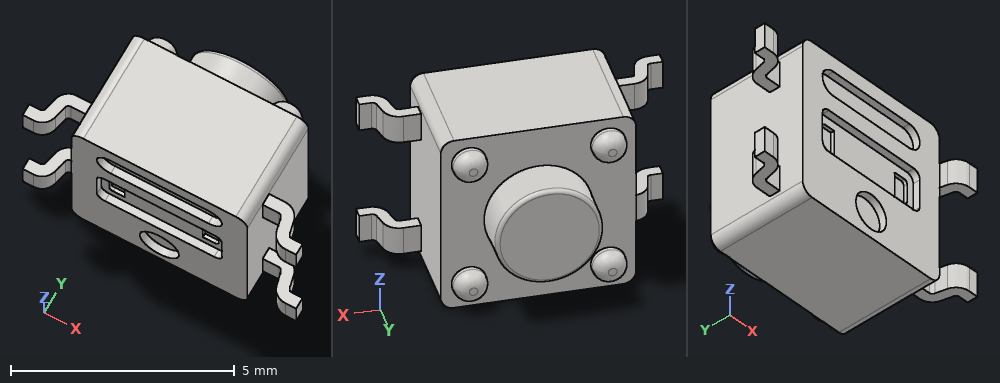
import cadquery as cq
import math

overall_length = 7.0
body_side = 4.5
body_depth = 2.8
body_corner_radius = 0.3

button_radius = 1.25
button_height = 1.0
button_taper = 0.8
button_edge_radius = 0.1

rivet_offset = 1.6
rivet_radius = 0.4
rivet_height = 0.4
rivet_rim_height = 0.1

lead_width = 0.7
lead_thickness = 0.3
lead_height = 1.0
lead_spacing = 3.0
lead_lean = 13.0
foot_length = 0.28
inner_bend_radius = 0.1
outer_bend_radius = inner_bend_radius + lead_thickness
lead_embed = 0.07

recess_depth = 0.2
recess_length = 3.2
slot_width = 0.7
slot_z = 1.45
panel_width = 1.2
panel_corner_radius = 0.2
window_width = 0.4
window_height = 0.7
window_outer_edge = 1.4
window_corner_radius = 0.1
window_depth = 0.1
dimple_diameter = 1.0
dimple_z = -1.5


def block(size_x, size_z, y_start, y_end):
    """Box centred on X and Z between two Y positions."""
    depth = y_end - y_start
    return cq.Workplane("XY").box(size_x, depth, size_z).translate((0, y_start + depth / 2, 0))


def face_plane(y):
    """Sketch plane at the given Y whose local axes are X and Z, extruding toward -Y."""
    return cq.Workplane("XZ", origin=(0, y, 0))


def make_body():
    return block(body_side, body_side, 0, body_depth).edges("|Y").fillet(body_corner_radius)


def make_button():
    button = face_plane(body_depth).circle(button_radius).extrude(-button_height, taper=button_taper)
    return button.faces(">Y").edges().fillet(button_edge_radius)


def make_rivets():
    corners = [(x, z) for x in (-rivet_offset, rivet_offset) for z in (-rivet_offset, rivet_offset)]
    rivets = face_plane(body_depth).pushPoints(corners).circle(rivet_radius).extrude(-rivet_height)
    return rivets.faces(">Y").edges().fillet(rivet_height - rivet_rim_height)


def make_lead():
    """One lead on the -X side: foot, leaning leg and shoulder joined by concentric bends."""
    lean = math.radians(lead_lean)
    sin_lean = math.sin(lean)
    cos_lean = math.cos(lean)
    bend_sum = inner_bend_radius + outer_bend_radius
    leg_rise = lead_height - lead_thickness - bend_sum * (1 - sin_lean)
    leg_run = leg_rise * math.tan(lean)

    foot_end = -overall_length / 2
    lower_x = foot_end + foot_length
    lower_y = outer_bend_radius
    upper_x = lower_x + bend_sum * cos_lean + leg_run
    upper_y = lead_height - outer_bend_radius
    shoulder_end = -body_side / 2 + lead_embed

    def lower_bend(radius, angle):
        return (lower_x + radius * math.sin(angle), lower_y - radius * math.cos(angle))

    def upper_bend(radius, angle):
        return (upper_x - radius * math.sin(angle), upper_y + radius * math.cos(angle))

    turn = math.pi / 2 - lean
    profile = (
        cq.Workplane("XY", origin=(0, 0, -lead_width / 2))
        .moveTo(foot_end, 0)
        .lineTo(lower_x, 0)
        .threePointArc(lower_bend(outer_bend_radius, turn / 2), lower_bend(outer_bend_radius, turn))
        .lineTo(*upper_bend(inner_bend_radius, turn))
        .threePointArc(upper_bend(inner_bend_radius, turn / 2), upper_bend(inner_bend_radius, 0))
        .lineTo(shoulder_end, lead_height - lead_thickness)
        .lineTo(shoulder_end, lead_height)
        .lineTo(upper_x, lead_height)
        .threePointArc(upper_bend(outer_bend_radius, turn / 2), upper_bend(outer_bend_radius, turn))
        .lineTo(*lower_bend(inner_bend_radius, turn))
        .threePointArc(lower_bend(inner_bend_radius, turn / 2), lower_bend(inner_bend_radius, 0))
        .lineTo(foot_end, lead_thickness)
        .close()
    )
    return profile.extrude(lead_width)


def make_slot():
    return face_plane(0).center(0, slot_z).slot2D(recess_length, slot_width).extrude(-recess_depth)


def make_panel():
    """Rectangular recess with a deeper window at each end."""
    panel = block(recess_length, panel_width, 0, recess_depth).edges("|Y").fillet(panel_corner_radius)
    window = block(window_width, window_height, 0, recess_depth + window_depth)
    window = window.edges("|Y and <X").fillet(window_corner_radius)
    left_window = window.translate((window_width / 2 - window_outer_edge, 0, 0))
    return panel.union(left_window).union(left_window.mirror("YZ"))


def make_dimple():
    return face_plane(0).center(0, dimple_z).circle(dimple_diameter / 2).extrude(-recess_depth)


result = make_body().union(make_button()).union(make_rivets())

lead = make_lead()
for lead_z in (-lead_spacing / 2, lead_spacing / 2):
    left_lead = lead.translate((0, 0, lead_z))
    result = result.union(left_lead).union(left_lead.mirror("YZ"))

for recess in (make_slot(), make_panel(), make_dimple()):
    result = result.cut(recess)